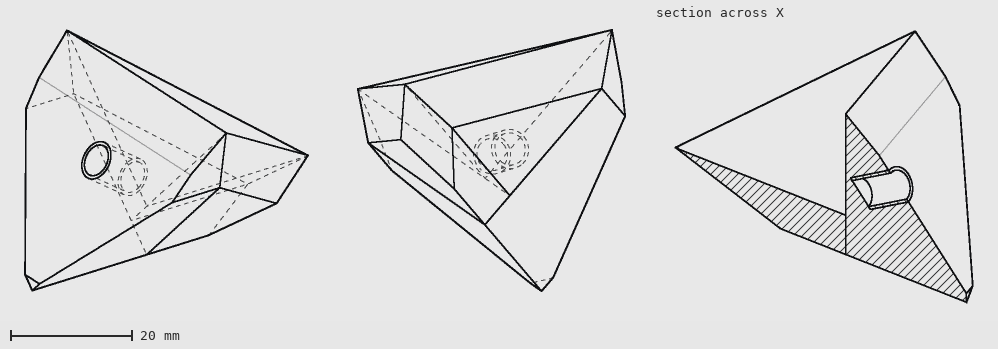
import cadquery as cq
import math

root2 = math.sqrt(2)
width = 45.7
total_depth = 55.2
plate_thickness = 6.35
edge_length = width / root2
block_depth = total_depth - edge_length

sleeve_diameter = 6.45
bore_diameter = 5.3
sleeve_length = 8.85
sleeve_height = 20.25

corner_height = plate_thickness * root2
tip_x = width / 2
top_z = corner_height + tip_x
bevelled_length = edge_length - plate_thickness * root2
shoulder = (bevelled_length + plate_thickness) / root2
bevel_end_z = top_z - plate_thickness
mount_slope = root2
front_top_z = bevel_end_z - mount_slope * (block_depth - plate_thickness)
sleeve_y = -plate_thickness - (bevel_end_z - sleeve_height) / mount_slope

mount_plane = cq.Plane(
    origin=(0, sleeve_y, sleeve_height),
    xDir=(1, 0, 0),
    normal=(0, -mount_slope, 1),
)


def make_front_block():
    """V-shaped block with a bevelled top, a sloping mounting face and a blind sleeve hole."""
    v_section = [
        (0, 0),
        (shoulder, shoulder),
        (tip_x, top_z),
        (-tip_x, top_z),
        (-shoulder, shoulder),
    ]
    side_profile = [
        (0, 0),
        (0, top_z),
        (-plate_thickness, bevel_end_z),
        (-block_depth, front_top_z),
        (-block_depth, 0),
    ]
    v_prism = cq.Workplane("XZ").polyline(v_section).close().extrude(block_depth)
    side_prism = cq.Workplane("YZ").polyline(side_profile).close().extrude(tip_x, both=True)
    sleeve_hole = cq.Workplane(mount_plane).circle(sleeve_diameter / 2).extrude(-sleeve_length)
    return v_prism.intersect(side_prism).cut(sleeve_hole)


def bevelled_sheet(outline, plane):
    """Plate from its inner-face outline, with 45 degree bevels all round, growing outward.

    The outline overruns the straight joint edges so that bevelling
    leaves enough material to trim those edges square.
    """
    return cq.Workplane(plane).polyline(outline).close().extrude(plate_thickness, taper=45)


def wall_plane(side):
    """Inner wall on one side (+1 or -1): local X along Y, normal pointing outward and down."""
    return cq.Plane(origin=(0, 0, corner_height), xDir=(0, 1, 0), normal=(side, 0, -1))


def trim_box(plane, y_sign, start):
    """Material to keep: everything behind y = 0 and beyond the joint edge of a plate."""
    low, high = sorted((start, y_sign * edge_length))
    return (
        cq.Workplane(plane)
        .center(edge_length / 2, (low + high) / 2)
        .rect(edge_length, high - low)
        .extrude(plate_thickness)
    )


def make_plate(side, overlaps_joint):
    """One plate; the overlapping one runs on under the edge of the other in a butt joint."""
    plane = wall_plane(side)
    up = 1 if plane.yDir.z > 0 else -1
    overrun = 2 * plate_thickness
    hyp_end = (-overrun, up * (edge_length + overrun))
    if overlaps_joint:
        joint_start = -up * plate_thickness
        lower_y = edge_length - overrun * root2
        outline = [
            (-overrun, -up * overrun),
            (lower_y, -up * overrun),
            (edge_length, 0),
            hyp_end,
        ]
    else:
        joint_start = 0
        outline = [
            (-overrun, -up * overrun),
            (edge_length + overrun, -up * overrun),
            hyp_end,
        ]
    return bevelled_sheet(outline, plane).intersect(trim_box(plane, up, joint_start))


def make_sleeve():
    """Plain tube flush with the mounting face."""
    return (
        cq.Workplane(mount_plane)
        .circle(sleeve_diameter / 2)
        .circle(bore_diameter / 2)
        .extrude(-sleeve_length)
    )


front_block = make_front_block()
left_plate = make_plate(-1, overlaps_joint=False)
right_plate = make_plate(1, overlaps_joint=True)
sleeve = make_sleeve()

result = cq.Compound.makeCompound(
    [front_block.val(), left_plate.val(), right_plate.val(), sleeve.val()]
)